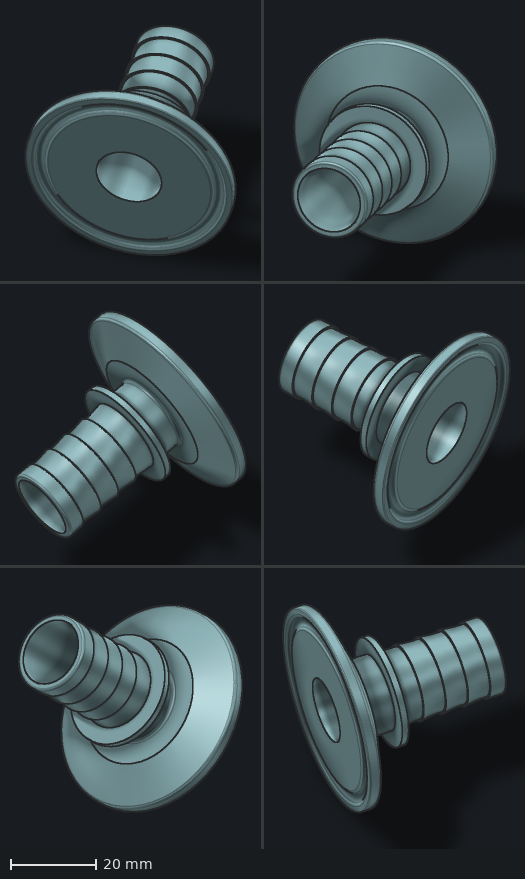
import cadquery as cq
import math

total_length = 42.0
bore_radius = 7.95

rim_radius = 25.25
rim_height = 2.9
rim_fillet = 0.75
face_edge_fillet = 0.25
cone_top_radius = 15.45
cone_top = 6.35

neck_radius = 9.5
neck_fillet = 0.9
collar_radius = 13.6
collar_bottom = 13.45
collar_top = 15.1

barb_count = 4
tip_length = 4.15
barb_pitch = (total_length - tip_length - collar_top) / barb_count
barb_root_radius = 9.0
tip_fillet = 0.5

groove_radius = 21.7
groove_half_width = 1.95
groove_floor_arc = 1.4
groove_lip_arc = 0.95
groove_wall_angle = math.radians(52)


def barb_arc_middle(bottom):
    """Point halfway along a concave barb flank that is parallel to the axis at its narrow end."""
    step = neck_radius - barb_root_radius
    arc_radius = (barb_pitch**2 + step**2) / (2 * step)
    half_angle = math.asin(barb_pitch / arc_radius) / 2
    return (
        barb_root_radius + arc_radius * (1 - math.cos(half_angle)),
        bottom + barb_pitch - arc_radius * math.sin(half_angle),
    )


def turned_body():
    """Flange, neck, collar and barbs around the through bore."""
    profile = (
        cq.Workplane("XY")
        .moveTo(bore_radius, 0)
        .lineTo(rim_radius, 0)
        .lineTo(rim_radius, rim_height)
        .lineTo(cone_top_radius, cone_top)
        .lineTo(neck_radius, cone_top)
        .lineTo(neck_radius, collar_bottom)
        .lineTo(collar_radius, collar_bottom)
        .lineTo(collar_radius, collar_top)
        .lineTo(neck_radius, collar_top)
    )
    for index in range(barb_count):
        bottom = collar_top + index * barb_pitch
        profile = profile.threePointArc(barb_arc_middle(bottom), (barb_root_radius, bottom + barb_pitch))
        profile = profile.lineTo(neck_radius, bottom + barb_pitch)
    profile = profile.lineTo(neck_radius, total_length).lineTo(bore_radius, total_length).close()
    return profile.revolve(360, (0, 0, 0), (0, 1, 0))


def groove_half_points():
    """Offsets from the groove centreline and depths, from the sealing face down to the floor.

    A rounded lip and the rounded floor are both tangent to a short straight wall between them.
    """
    sine, cosine = math.sin(groove_wall_angle), math.cos(groove_wall_angle)
    half_sine, half_cosine = math.sin(groove_wall_angle / 2), math.cos(groove_wall_angle / 2)
    wall_run = groove_half_width - (groove_lip_arc + groove_floor_arc) * sine
    wall_drop = wall_run * math.tan(groove_wall_angle)
    depth = (groove_lip_arc + groove_floor_arc) * (1 - cosine) + wall_drop
    lip_start = (groove_half_width, 0)
    lip_middle = (groove_half_width - groove_lip_arc * half_sine, groove_lip_arc * (1 - half_cosine))
    lip_end = (groove_half_width - groove_lip_arc * sine, groove_lip_arc * (1 - cosine))
    floor_start = (groove_floor_arc * sine, depth - groove_floor_arc * (1 - cosine))
    floor_middle = (0, depth)
    return lip_start, lip_middle, lip_end, floor_start, floor_middle


def gasket_groove():
    """Solid ring that is removed from the sealing face."""
    points = groove_half_points()
    inner = [(groove_radius - offset, depth) for offset, depth in points]
    outer = [(groove_radius + offset, depth) for offset, depth in points]
    lip_start, lip_middle, lip_end, floor_start, floor_middle = range(len(points))
    return (
        cq.Workplane("XY")
        .moveTo(*inner[lip_start])
        .threePointArc(inner[lip_middle], inner[lip_end])
        .lineTo(*inner[floor_start])
        .threePointArc(inner[floor_middle], outer[floor_start])
        .lineTo(*outer[lip_end])
        .threePointArc(outer[lip_middle], outer[lip_start])
        .close()
        .revolve(360, (0, 0, 0), (0, 1, 0))
    )


def round_edge(body, radius, y, fillet_radius):
    """Fillet the circular edge of the given radius at height y."""
    tolerance = 0.05
    around = cq.selectors.BoxSelector(
        (-radius - tolerance, y - tolerance, -radius - tolerance),
        (radius + tolerance, y + tolerance, radius + tolerance),
        boundingbox=True,
    )
    inside = cq.selectors.BoxSelector(
        (-radius + tolerance, y - tolerance, -radius + tolerance),
        (radius - tolerance, y + tolerance, radius - tolerance),
        boundingbox=True,
    )
    return body.edges(around - inside).fillet(fillet_radius)


result = turned_body()
result = round_edge(result, rim_radius, 0, face_edge_fillet)
result = round_edge(result, rim_radius, rim_height, rim_fillet)
result = round_edge(result, neck_radius, cone_top, neck_fillet)
result = round_edge(result, neck_radius, total_length, tip_fillet)
result = result.cut(gasket_groove())